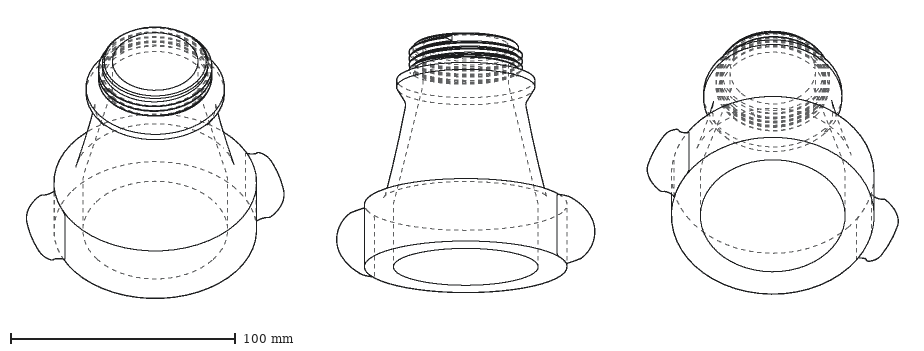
import cadquery as cq
import math

overall_height = 101.6
ring_height = 28.7
waist_height = 75.5
flange_bottom = 82.6
flange_top = 85.9
relief_top = 90.3

ring_diameter = 90.2
ring_radius = ring_diameter / 2
skirt_radius = 36.8
wall_bow = 0.5
waist_radius = 26.5
flange_radius = 30.8
relief_radius = 23.2
thread_root_radius = 23.5
thread_crest_radius = 25.2

bore_radius = 19.0
bore_depth = 18.0
wall_thickness = 4.6

skirt_fillet = 4.6
waist_fillet = 5.0
relief_fillet = 1.0
edge_tolerance = 0.01
mouth_chamfer = 0.8

thread_length = 11.3
thread_turns = 4
thread_pitch = thread_length / thread_turns
thread_end_height = 99.2
thread_crest_width = 0.3
thread_flank_angle = 30.0
thread_embed = 0.3
thread_end_setback = 2.2

lug_reach = 57.9
lug_width = 19.0
lug_root = 44.1
lug_edge_fillet = 1.5
groove_radius = 3.0
groove_x = 10.5
groove_y = 46.4

half_section = cq.Plane(origin=(0, 0, 0), xDir=(0, -1, 0), normal=(-1, 0, 0))


def revolved(profile):
    return profile.close().revolve(360, (0, 0, 0), (0, 1, 0))


def rounded_corner(solid, radius, height, fillet):
    """Fillet the circular edge that has the given radius at the given height."""
    circles = [
        edge
        for edge in solid.edges("%CIRCLE").vals()
        if abs(edge.radius() - radius) < edge_tolerance
        and abs(edge.Center().z - height) < edge_tolerance
    ]
    return solid.newObject(circles).fillet(fillet)


def outer_shell():
    """Ring, bowed conical wall, flange and threadless spigot, all solid inside."""
    bow_radius = (waist_radius + skirt_radius) / 2 - wall_bow
    bow_height = (waist_height + ring_height) / 2
    shell = revolved(
        cq.Workplane(half_section)
        .lineTo(ring_radius, 0)
        .lineTo(ring_radius, ring_height)
        .lineTo(skirt_radius, ring_height)
        .threePointArc((bow_radius, bow_height), (waist_radius, waist_height))
        .lineTo(flange_radius, flange_bottom)
        .lineTo(flange_radius, flange_top)
        .lineTo(relief_radius, flange_top)
        .lineTo(relief_radius, relief_top)
        .lineTo(thread_root_radius, relief_top)
        .lineTo(thread_root_radius, overall_height - mouth_chamfer)
        .lineTo(thread_root_radius - mouth_chamfer, overall_height)
        .lineTo(0, overall_height)
    )
    shell = rounded_corner(shell, skirt_radius, ring_height, skirt_fillet)
    shell = rounded_corner(shell, waist_radius, waist_height, waist_fillet)
    return rounded_corner(shell, relief_radius, flange_top, relief_fillet)


def passage():
    """Straight bore that widens through a cone to the open ring end."""
    socket_radius = skirt_radius - wall_thickness
    return revolved(
        cq.Workplane(half_section)
        .lineTo(socket_radius, 0)
        .lineTo(socket_radius, ring_height)
        .lineTo(bore_radius, overall_height - bore_depth)
        .lineTo(bore_radius, overall_height)
        .lineTo(0, overall_height)
    )


def male_thread():
    """Right-handed thread that ends at -X and is cut flat at the top of the relief."""
    base_radius = thread_root_radius - thread_embed
    flank = (thread_crest_radius - base_radius) * math.tan(math.radians(thread_flank_angle))
    half_crest = thread_crest_width / 2
    helix = cq.Wire.makeHelix(thread_pitch, thread_length, base_radius)
    thread = (
        cq.Workplane("XZ")
        .moveTo(base_radius, -half_crest - flank)
        .lineTo(thread_crest_radius, -half_crest)
        .lineTo(thread_crest_radius, half_crest)
        .lineTo(base_radius, half_crest + flank)
        .close()
        .sweep(cq.Workplane(helix), isFrenet=True)
        .rotate((0, 0, 0), (0, 0, 1), 180)
        .translate((0, 0, thread_end_height - thread_length))
    )
    kept_zone = (
        cq.Workplane("XY", origin=(0, 0, relief_top))
        .circle(ring_radius)
        .extrude(overall_height - relief_top)
    )
    slanted_end = (
        cq.Workplane("XY", origin=(0, 0, thread_end_height - thread_pitch / 2))
        .moveTo(-thread_root_radius, 0)
        .lineTo(-thread_crest_radius, thread_end_setback)
        .lineTo(-flange_radius, thread_end_setback)
        .lineTo(-flange_radius, 0)
        .close()
        .extrude(thread_pitch)
    )
    return thread.intersect(kept_zone).cut(slanted_end)


def lug():
    """Lug at -Y, with a round rim that follows the ring and a groove down each side."""
    round_radius = ring_height / 2
    disc = revolved(
        cq.Workplane(half_section)
        .lineTo(lug_reach - round_radius, 0)
        .threePointArc((lug_reach, round_radius), (lug_reach - round_radius, ring_height))
        .lineTo(0, ring_height)
    )
    block = (
        cq.Workplane("XY")
        .center(0, -(lug_root + lug_reach) / 2)
        .rect(lug_width, lug_reach - lug_root)
        .extrude(ring_height)
    )
    grooves = (
        cq.Workplane("XY")
        .pushPoints([(-groove_x, -groove_y), (groove_x, -groove_y)])
        .circle(groove_radius)
        .extrude(ring_height)
    )
    body = disc.intersect(block).cut(grooves)
    exposed_zone = cq.selectors.BoxSelector(
        (-lug_width, -lug_reach, -ring_height), (lug_width, -groove_y, 2 * ring_height)
    )
    return body.edges(exposed_zone).fillet(lug_edge_fillet)


def reducing_adapter():
    body = outer_shell().union(male_thread())
    for angle in (0, 180):
        body = body.union(lug().rotate((0, 0, 0), (0, 0, 1), angle))
    return body.cut(passage())


adapter = reducing_adapter()

result = cq.Compound.makeCompound([adapter.val()])